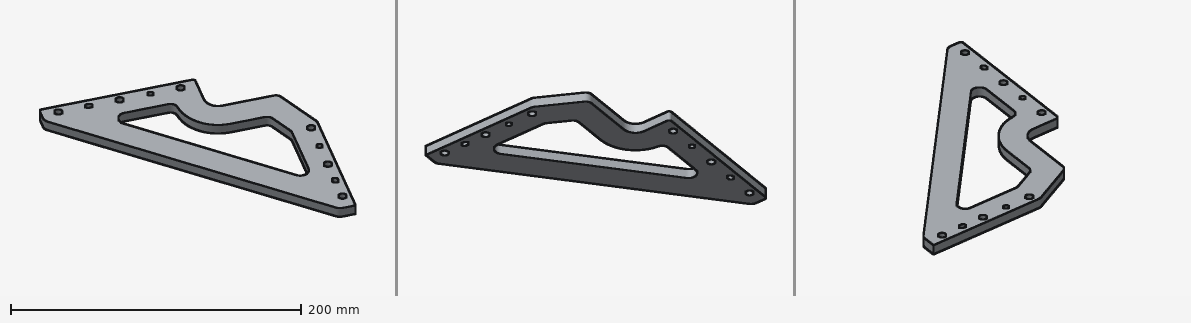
import cadquery as cq
import math

width = 159.0
height = 180.0
thickness = 8.0
band = 20.0

shoulder_y = 112.0
neck_x = 32.0
bevel_low_y = 162.2
bevel_top_x = 67.0
brace_foot_x = 11.9
brace_top_y = 168.1
neck_radius = 10.0

small_radius = 2.0
bevel_radius = 5.0
brace_radius = 6.0
window_radius = 5.0
window_tip_radius = 6.0

hole_inset = 6.0
bolt_diameter = 5.5
pin_diameter = 4.1
slot_length = 5.2
top_bolts_x = (72.0, 112.0, 147.0)
top_pin_x = 92.0
top_slot_x = 129.6
side_bolts_y = (12.0, 56.2, 100.0)
side_pin_y = 78.3
side_slot_y = 34.0


def round_corner(body, point, radius):
    """Round the vertical edge standing at the given plan point."""
    edge = cq.selectors.NearestToPointSelector((point[0], point[1], thickness / 2))
    return body.edges("|Z").edges(edge).fillet(radius)


def make_plate():
    shoulder = (0, shoulder_y)
    neck = (neck_x, shoulder_y)
    bevel_low = (neck_x, bevel_low_y)
    bevel_top = (bevel_top_x, height)
    brace_top = (width, brace_top_y)
    brace_foot = (brace_foot_x, 0)
    outline = [
        (0, 0), shoulder, neck, bevel_low, bevel_top,
        (width, height), brace_top, brace_foot,
    ]
    plate = cq.Workplane("XY").polyline(outline).close().extrude(thickness)
    corner_radii = [
        ((0, 0), small_radius),
        (shoulder, small_radius),
        (neck, neck_radius),
        (bevel_low, bevel_radius),
        (bevel_top, bevel_radius),
        (brace_top, brace_radius),
        (brace_foot, brace_radius),
    ]
    for point, radius in corner_radii:
        plate = round_corner(plate, point, radius)
    return plate


def make_window():
    """Opening whose sides run parallel to the outer edges, one band inside them."""
    left = band
    top = height - band
    neck_left = neck_x + band

    bevel_slope = (height - bevel_low_y) / (bevel_top_x - neck_x)
    bevel_drop = band * math.hypot(1, bevel_slope)
    bevel_low = (neck_left, bevel_low_y + bevel_slope * band - bevel_drop)
    bevel_top = (neck_left + (top - bevel_low[1]) / bevel_slope, top)
    brace_slope = brace_top_y / (width - brace_foot_x)
    brace_rise = band * math.hypot(1, brace_slope)
    brace_low = (left, brace_slope * (left - brace_foot_x) + brace_rise)
    brace_top = (brace_foot_x + (top - brace_rise) / brace_slope, top)

    bend_radius = neck_radius + band
    center_x = neck_x - neck_radius
    center_y = shoulder_y + neck_radius
    bend_end = (left, center_y - math.sqrt(bend_radius**2 - (left - center_x) ** 2))
    diagonal = bend_radius * math.sqrt(0.5)
    bend_middle = (center_x + diagonal, center_y - diagonal)

    window = (
        cq.Workplane("XY")
        .moveTo(*brace_low)
        .lineTo(*brace_top)
        .lineTo(*bevel_top)
        .lineTo(*bevel_low)
        .lineTo(neck_left, center_y)
        .threePointArc(bend_middle, bend_end)
        .close()
        .extrude(thickness)
    )
    for point in (bevel_low, bevel_top, bend_end):
        window = round_corner(window, point, window_radius)
    for point in (brace_low, brace_top):
        window = round_corner(window, point, window_tip_radius)
    return window


def make_holes():
    """Bolt holes, round pin holes and slotted pin holes along the top and left edges."""
    top_y = height - hole_inset
    bolts = [(x, top_y) for x in top_bolts_x] + [(hole_inset, y) for y in side_bolts_y]
    pins = [(top_pin_x, top_y), (hole_inset, side_pin_y)]
    slots = [(top_slot_x, top_y, 0), (hole_inset, side_slot_y, 90)]
    holes = cq.Workplane("XY").pushPoints(bolts).circle(bolt_diameter / 2).extrude(thickness)
    holes = holes.add(cq.Workplane("XY").pushPoints(pins).circle(pin_diameter / 2).extrude(thickness))
    for x, y, angle in slots:
        holes = holes.add(
            cq.Workplane("XY").center(x, y).slot2D(slot_length, pin_diameter, angle).extrude(thickness)
        )
    return holes.combine()


result = make_plate().cut(make_window()).cut(make_holes())